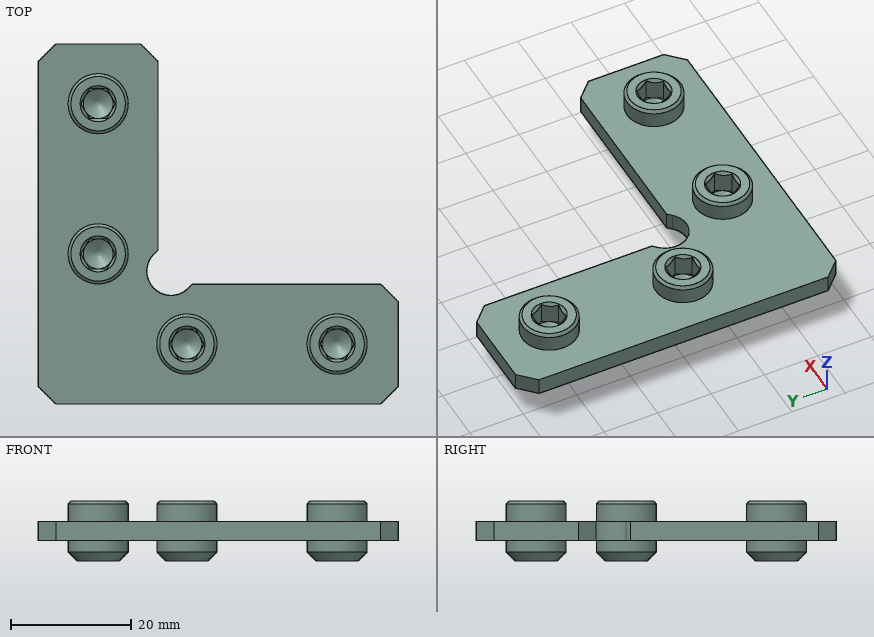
import cadquery as cq
import math

PLATE_LENGTH = 60.0
ARM_WIDTH = PLATE_LENGTH / 3
PLATE_THICKNESS = 3.2
CORNER_CHAMFER = 2.95

RELIEF_RADIUS = 4.0
RELIEF_CENTER = 22.15

SCREW_DIAMETER = 10.0
SCREW_LENGTH = 10.0
HEAD_CHAMFER = 0.5
TIP_CHAMFER = 1.5
ARM_CENTER = ARM_WIDTH / 2
SCREW_SPACING = 25.0
Y_ARM_FIRST_SCREW = 25.0
X_ARM_FIRST_SCREW = 24.8

SOCKET_ACROSS_FLATS = 5.0
SOCKET_CORNER_DIAMETER = SOCKET_ACROSS_FLATS / math.cos(math.pi / 6)
SOCKET_DEPTH = 4.0
SOCKET_CONE_DEPTH = 1.5
MOUTH_DIAMETER = 6.0

SCREW_PLACES = []
for step in range(2):
    along = step * SCREW_SPACING
    SCREW_PLACES.append((ARM_CENTER, Y_ARM_FIRST_SCREW + along))
    SCREW_PLACES.append((X_ARM_FIRST_SCREW + along, ARM_CENTER))

SCREW_BOTTOM = (PLATE_THICKNESS - SCREW_LENGTH) / 2


def make_corner_relief():
    """Cutter with a round end and two walls tangent to it along the diagonal."""
    pocket = cq.Workplane("XY").center(RELIEF_CENTER, RELIEF_CENTER).circle(RELIEF_RADIUS)
    channel = (
        cq.Workplane("XY")
        .rect(2 * RELIEF_RADIUS, 2 * RELIEF_RADIUS)
        .extrude(PLATE_THICKNESS)
        .translate((RELIEF_RADIUS, 0, 0))
        .rotate((0, 0, 0), (0, 0, 1), 45)
        .translate((RELIEF_CENTER, RELIEF_CENTER, 0))
    )
    return pocket.extrude(PLATE_THICKNESS).union(channel)


def make_plate():
    """L-shaped plate with chamfered outer corners and a hole for each screw."""
    x_arm = cq.Workplane("XY").box(PLATE_LENGTH, ARM_WIDTH, PLATE_THICKNESS, centered=False)
    y_arm = cq.Workplane("XY").box(ARM_WIDTH, PLATE_LENGTH, PLATE_THICKNESS, centered=False)
    inner_corner = cq.selectors.NearestToPointSelector((ARM_WIDTH, ARM_WIDTH, PLATE_THICKNESS / 2))
    outer_corners = cq.selectors.SubtractSelector(cq.selectors.StringSyntaxSelector("|Z"), inner_corner)
    plate = x_arm.union(y_arm).edges(outer_corners).chamfer(CORNER_CHAMFER)
    plate = plate.cut(make_corner_relief())
    for x, y in SCREW_PLACES:
        hole = cq.Workplane("XY").center(x, y).circle(SCREW_DIAMETER / 2).extrude(PLATE_THICKNESS)
        plate = plate.cut(hole)
    return plate


def make_socket():
    """Cutter for the hexagon socket, with the screw's lower end at Z = 0."""
    floor = SCREW_LENGTH - SOCKET_DEPTH
    hexagon = (
        cq.Workplane("XY")
        .workplane(offset=floor)
        .polygon(6, SOCKET_CORNER_DIAMETER)
        .extrude(SOCKET_DEPTH)
    )
    floor_cone = cq.Workplane(
        cq.Solid.makeCone(
            0, SOCKET_ACROSS_FLATS / 2, SOCKET_CONE_DEPTH, cq.Vector(0, 0, floor - SOCKET_CONE_DEPTH)
        )
    )
    mouth_depth = (MOUTH_DIAMETER - SOCKET_ACROSS_FLATS) / 2
    mouth = cq.Workplane(
        cq.Solid.makeCone(
            SOCKET_ACROSS_FLATS / 2, MOUTH_DIAMETER / 2, mouth_depth, cq.Vector(0, 0, SCREW_LENGTH - mouth_depth)
        )
    )
    return hexagon.union(floor_cone).union(mouth)


def make_screw(x, y):
    """Set screw at (x, y) with a chamfered tip pointing down and a socket on top."""
    screw = cq.Workplane("XY").circle(SCREW_DIAMETER / 2).extrude(SCREW_LENGTH)
    screw = screw.faces(">Z").chamfer(HEAD_CHAMFER)
    screw = screw.faces("<Z").chamfer(TIP_CHAMFER)
    screw = screw.cut(make_socket())
    return screw.translate((x, y, SCREW_BOTTOM))


plate = make_plate()
screws = [make_screw(x, y) for x, y in SCREW_PLACES]

result = cq.Compound.makeCompound([plate.val(), *[screw.val() for screw in screws]])